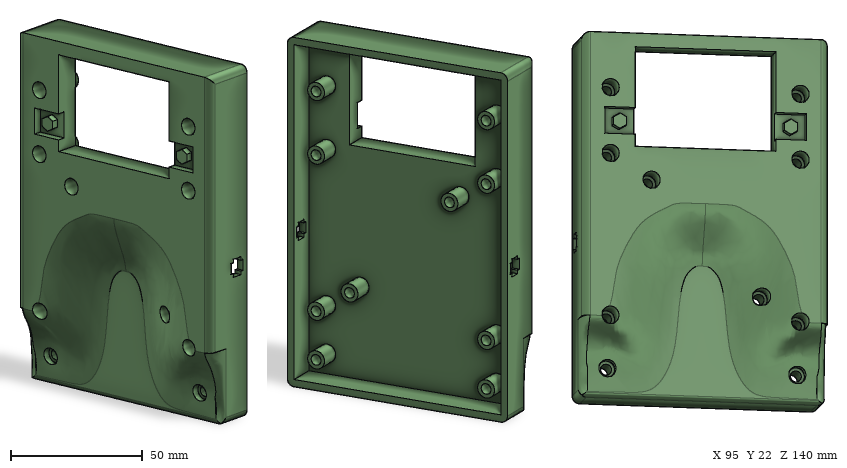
import cadquery as cq
import math

width = 95.0
depth = 22.0
height = 140.0
corner_radius = 3.0
wall = 3.0
plate_thickness = 10.1
half_width = width / 2
overshoot = 1.4

window_width = 54.3
window_bottom = 96.2
window_top = 134.7

pocket_reach = 11.8
pocket_bottom = 100.8
pocket_top = 111.2
pocket_depth = 3.4
stud_across_flats = 5.2
stud_height = 3.0

screw_diameter = 4.2
head_diameter = 6.6
seat_depth = 9.8
boss_diameter = 7.3
boss_end = 19.0
screw_column = 36.7
screw_rows = [11.2, 30.7, 93.2, 118.7]
screw_centres = [(side * screw_column, row) for row in screw_rows for side in (-1, 1)]
screw_centres += [(-20.9, 83.5), (22.3, 40.3)]

cable_length = 7.1
cable_width = 4.3
cable_from_back = 5.9
cable_height = 61.2

scoop_depth = 7.3
rim_points = [
    (43.4, 30.2), (39.2, 30.7), (37.0, 34.3), (34.6, 47.3),
    (29.4, 59.9), (23.0, 68.2), (14.4, 73.2), (0, 74.9),
]
floor_points = [
    (28.0, 2.2), (20.2, 3.5), (13.7, 10.8), (10.1, 23.8),
    (7.8, 43.4), (5.7, 48.9), (2.8, 51.7), (0, 52.1),
]
rim_side_height = 30.2
floor_side_height = 2.0
scoop_steps = 6
level_smoothing = 0.75
side_fall_power = 5
lagging_points = 4

side_lip_depth = 9.4
side_lip_width = 3.2
side_lip_lead = 0.1
bottom_lip_radius = 1.7


def box(x_range, y_range, z_range):
    """A box given by its lower and upper limits along each axis."""
    sizes = [high - low for low, high in (x_range, y_range, z_range)]
    corner = (x_range[0], y_range[0], z_range[0])
    return cq.Workplane("XY").box(*sizes, centered=False).translate(corner)


def rod(centre, diameter, y_start, y_end):
    """A cylinder along Y at the given (x, z) centre."""
    plane = cq.Workplane("XZ", origin=(centre[0], y_start, centre[1]))
    return plane.circle(diameter / 2).extrude(y_start - y_end)


def between(start, end, share):
    return start + (end - start) * share


def scoop_level(share):
    """Depth of the scoop below the front face, easing in at the rim and out at the floor."""
    smooth_share = share**2 * (3 - 2 * share)
    return scoop_depth * between(share, smooth_share, level_smoothing)


def scoop_side_share(share):
    """Share for the sides, which drop steeply below the rim and then run out gently."""
    return (share + share**side_fall_power) / 2


def scoop_side_height(share):
    return between(rim_side_height, floor_side_height, scoop_side_share(share))


def scoop_section(share):
    """Outline of the right half of the scoop at one level: share 0 is the rim, share 1 the floor."""
    side_share = scoop_side_share(share)
    side_height = scoop_side_height(share)
    level = scoop_level(share)
    arch = []
    for index, (rim, floor) in enumerate(zip(rim_points, floor_points)):
        lag = max(0, 1 - index / lagging_points)
        height_share = between(share, side_share, lag)
        arch.append((between(rim[0], floor[0], share), between(rim[1], floor[1], height_share)))
    edge = half_width + overshoot
    return (
        cq.Workplane("XZ", origin=(0, level, 0))
        .moveTo(edge, -overshoot)
        .lineTo(edge, side_height)
        .spline(arch, tangents=[(-1, 0), (-1, 0)], includeCurrent=True)
        .lineTo(0, -overshoot)
        .close()
        .wires()
        .val()
    )


def scoop():
    """Cutters for the right and left halves of the scoop."""
    sections = [scoop_section(step / scoop_steps) for step in range(scoop_steps + 1)]
    right = cq.Workplane(cq.Solid.makeLoft(sections, False))
    return right, right.mirror("YZ")


def side_lip_section(height, level):
    """Area outside the curve that rolls the scoop surface over into the right side face."""
    edge = half_width + overshoot
    start = half_width - side_lip_width
    return (
        cq.Workplane("XY", origin=(0, 0, height))
        .moveTo(start, -overshoot)
        .lineTo(start, level - side_lip_lead)
        .spline([(half_width, side_lip_depth)], tangents=[(3, 1), (0, 1)], includeCurrent=True)
        .lineTo(edge, side_lip_depth)
        .lineTo(edge, -overshoot)
        .close()
        .wires()
        .val()
    )


def side_lips():
    """Cutters that round the side edges of the scoop, right and left."""
    shares = [step / scoop_steps for step in range(scoop_steps + 1)]
    sections = [side_lip_section(scoop_side_height(share), scoop_level(share)) for share in shares]
    sections.append(side_lip_section(-overshoot, scoop_depth))
    right = cq.Workplane(cq.Solid.makeLoft(sections, False))
    return right, right.mirror("YZ")


def bottom_lip():
    """Cutter that rounds the front edge of the bottom face."""
    x_range = (-half_width, half_width)
    axis_depth = scoop_depth + bottom_lip_radius
    corner = box(x_range, (scoop_depth - overshoot, axis_depth), (-overshoot, bottom_lip_radius))
    round_edge = (
        cq.Workplane("YZ", origin=(-half_width, axis_depth, bottom_lip_radius))
        .circle(bottom_lip_radius)
        .extrude(width)
    )
    return corner.cut(round_edge)


def rounded_block():
    """Block rounded at its four corners along Y and along its two front side edges."""
    block = box((-half_width, half_width), (0, depth), (0, height))
    round_corners = block.edges("|Y").fillet(corner_radius)
    round_sides = block.edges("|Z and <Y").fillet(corner_radius)
    return round_corners.intersect(round_sides)


def cavity():
    """Space behind the front plate, open at the back."""
    x_range = (wall - half_width, half_width - wall)
    return box(x_range, (plate_thickness, depth + overshoot), (wall, height - wall))


def screw_bosses(part):
    for centre in screw_centres:
        part = part.union(rod(centre, boss_diameter, seat_depth, boss_end))
    return part


def screw_holes(part):
    for centre in screw_centres:
        part = part.cut(rod(centre, head_diameter, -overshoot, seat_depth))
        part = part.cut(rod(centre, screw_diameter, -overshoot, depth + overshoot))
    return part


def window(part):
    x_range = (-window_width / 2, window_width / 2)
    return part.cut(box(x_range, (-overshoot, depth + overshoot), (window_bottom, window_top)))


def nut_pocket(part, side):
    """Pocket opening into the window on one side (-1 left, 1 right), with its hexagonal stud."""
    inner = side * window_width / 2
    outer = inner + side * pocket_reach
    x_range = (min(inner, outer), max(inner, outer))
    part = part.cut(box(x_range, (-overshoot, pocket_depth), (pocket_bottom, pocket_top)))
    centre = ((inner + outer) / 2, 0, (pocket_bottom + pocket_top) / 2)
    stud = (
        cq.Workplane("XZ", origin=centre)
        .workplane(offset=-pocket_depth)
        .transformed(rotate=(0, 0, 90))
        .polygon(6, stud_across_flats / math.cos(math.pi / 6))
        .extrude(stud_height)
    )
    return part.union(stud)


def cable_opening(part):
    middle = depth - cable_from_back
    x_range = (-half_width - overshoot, half_width + overshoot)
    for y_size, z_size in ((cable_length, cable_width), (cable_width, cable_length)):
        y_range = (middle - y_size / 2, middle + y_size / 2)
        z_range = (cable_height - z_size / 2, cable_height + z_size / 2)
        part = part.cut(box(x_range, y_range, z_range))
    return part


result = rounded_block()
for cutter in (*side_lips(), *scoop(), bottom_lip()):
    result = result.cut(cutter)
result = result.cut(cavity())
result = screw_bosses(result)
result = screw_holes(result)
result = window(result)
for side in (-1, 1):
    result = nut_pocket(result, side)
result = cable_opening(result)